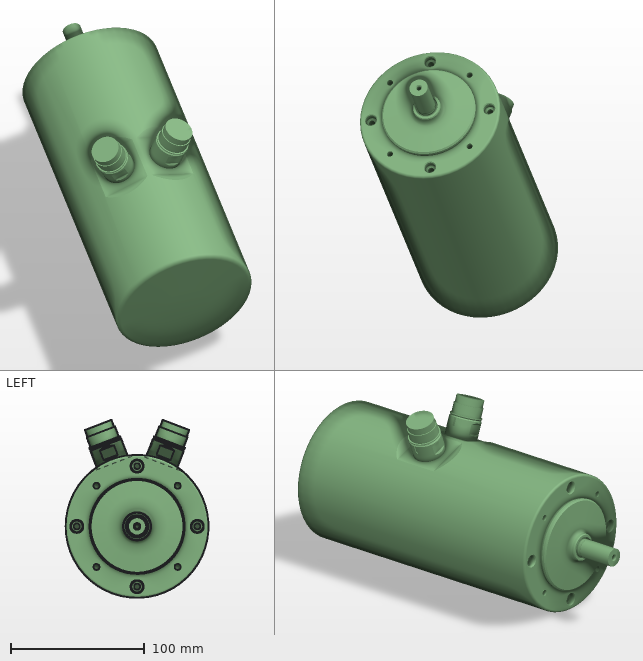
import cadquery as cq
import math

overall_length = 268.0
housing_diameter = 107.0
housing_radius = housing_diameter / 2
housing_front_x = 42.3
front_edge_fillet = 2.0
rear_edge_fillet = 3.2
rear_cone_height = 1.3

pilot_diameter = 71.3
pilot_front_x = 37.3
pilot_chamfer = 1.0
pilot_relief_diameter = 70.2
pilot_relief_length = 2.1
hub_diameter = 21.2
hub_fillet = 3.0
hub_fillet_start_x = 32.5
hub_face_diameter = 20.0
hub_front_x = 30.0
hub_chamfer = 0.8
hub_recess_diameter = 17.0
hub_recess_floor_diameter = 16.0
hub_recess_depth = 1.0

shaft_diameter = 14.0
shaft_groove_diameter = 13.5
shaft_groove_start_x = 27.3
shaft_groove_length = 2.1
shaft_groove_bevel = 0.5
center_hole_diameter = 3.5
center_hole_mouth_diameter = 5.0
center_hole_depth = 8.0

screw_circle_radius = 45.0
screw_mouth_diameter = 10.0
screw_counterbore_diameter = 8.5
screw_counterbore_depth = 4.8
screw_hole_diameter = 4.5
screw_hole_depth = 10.7
mount_circle_radius = 43.0
mount_hole_diameter = 4.5
mount_hole_depth = 8.0
hole_count = 4
drill_point_angle = 118.0

connector_x = 166.0
connector_tilt = 21.0
seat_width = 35.0
seat_height = math.sqrt(housing_radius**2 - (seat_width / 2) ** 2)
seat_length = 35.6
seat_ramp_angle = 20.0
seat_cut_clearance = 2.7
connector_top_height = 81.2
connector_length = connector_top_height - seat_height
connector_base_diameter = 25.0
connector_body_diameter = 22.8
connector_cap_diameter = 21.5
connector_cap_length = 5.5
connector_shoulder_depth = 13.7
connector_rim_length = 0.8
connector_groove_diameter = 23.0
connector_groove_length = 1.5
key_slot_width = 2.0
key_slot_height = 6.7
key_slot_depth = 0.8
wrench_flat_width = 22.2
wrench_flat_height = 7.5
wrench_flat_top_depth = 18.5


def cone_tip_length(diameter):
    """Length of the conical bottom left by a drill of this diameter."""
    return diameter / 2 / math.tan(math.radians(drill_point_angle / 2))


def revolve_about_x(sketch):
    """Turn a closed (x, radius) outline into a solid about the X axis."""
    return sketch.close().revolve(360, (0, 0, 0), (1, 0, 0))


def make_motor_blank():
    """Shaft, hub, pilot and housing as one turned shape."""
    shaft_radius = shaft_diameter / 2
    groove_radius = shaft_groove_diameter / 2
    groove_end_x = shaft_groove_start_x + shaft_groove_length
    pilot_radius = pilot_diameter / 2
    relief_radius = pilot_relief_diameter / 2
    recess_floor_x = hub_front_x + hub_recess_depth
    front_fillet_end_x = housing_front_x + front_edge_fillet
    front_fillet_mid = front_edge_fillet * math.sqrt(0.5)
    rear_fillet_start_x = overall_length - rear_cone_height - rear_edge_fillet
    rear_fillet_mid = rear_edge_fillet * math.sqrt(0.5)
    outline = (
        cq.Workplane("XY")
        .moveTo(0, 0)
        .lineTo(0, shaft_radius)
        .lineTo(shaft_groove_start_x, shaft_radius)
        .lineTo(shaft_groove_start_x + shaft_groove_bevel, groove_radius)
        .lineTo(groove_end_x - shaft_groove_bevel, groove_radius)
        .lineTo(groove_end_x, shaft_radius)
        .lineTo(recess_floor_x, shaft_radius)
        .lineTo(recess_floor_x, hub_recess_floor_diameter / 2)
        .lineTo(hub_front_x, hub_recess_diameter / 2)
        .lineTo(hub_front_x, hub_face_diameter / 2)
        .lineTo(hub_front_x + hub_chamfer, hub_diameter / 2)
        .lineTo(hub_fillet_start_x, hub_diameter / 2)
        .tangentArcPoint((hub_fillet, hub_fillet))
        .lineTo(pilot_front_x, pilot_radius - pilot_chamfer)
        .lineTo(pilot_front_x + pilot_chamfer, pilot_radius)
        .lineTo(housing_front_x - pilot_relief_length, pilot_radius)
        .lineTo(housing_front_x - pilot_relief_length, relief_radius)
        .lineTo(housing_front_x, relief_radius)
        .lineTo(housing_front_x, housing_radius - front_edge_fillet)
        .threePointArc(
            (front_fillet_end_x - front_fillet_mid, housing_radius - front_edge_fillet + front_fillet_mid),
            (front_fillet_end_x, housing_radius),
        )
        .lineTo(rear_fillet_start_x, housing_radius)
        .threePointArc(
            (rear_fillet_start_x + rear_fillet_mid, housing_radius - rear_edge_fillet + rear_fillet_mid),
            (rear_fillet_start_x + rear_edge_fillet, housing_radius - rear_edge_fillet),
        )
        .lineTo(overall_length, 0)
    )
    return revolve_about_x(outline)


def make_center_hole():
    """Countersunk center hole in the shaft tip."""
    hole_radius = center_hole_diameter / 2
    mouth_radius = center_hole_mouth_diameter / 2
    outline = (
        cq.Workplane("XY")
        .lineTo(0, mouth_radius)
        .lineTo(mouth_radius - hole_radius, hole_radius)
        .lineTo(center_hole_depth, hole_radius)
        .lineTo(center_hole_depth + cone_tip_length(center_hole_diameter), 0)
    )
    return revolve_about_x(outline)


def make_screw_hole():
    """Counterbored screw hole with a beveled mouth, on the X axis."""
    mouth_radius = screw_mouth_diameter / 2
    bore_radius = screw_counterbore_diameter / 2
    hole_radius = screw_hole_diameter / 2
    outline = (
        cq.Workplane("XY")
        .moveTo(housing_front_x, 0)
        .lineTo(housing_front_x, mouth_radius)
        .lineTo(housing_front_x + mouth_radius - bore_radius, bore_radius)
        .lineTo(housing_front_x + screw_counterbore_depth, bore_radius)
        .lineTo(housing_front_x + screw_counterbore_depth, hole_radius)
        .lineTo(housing_front_x + screw_hole_depth, hole_radius)
        .lineTo(housing_front_x + screw_hole_depth, 0)
    )
    return revolve_about_x(outline)


def make_mount_hole():
    """Blind drilled hole with a conical bottom, on the X axis."""
    hole_radius = mount_hole_diameter / 2
    bottom_x = housing_front_x + mount_hole_depth
    outline = (
        cq.Workplane("XY")
        .moveTo(housing_front_x, 0)
        .lineTo(housing_front_x, hole_radius)
        .lineTo(bottom_x, hole_radius)
        .lineTo(bottom_x + cone_tip_length(mount_hole_diameter), 0)
    )
    return revolve_about_x(outline)


def tilt(shape, angle):
    """Swing a shape standing on the motor around the X axis."""
    return shape.rotate((0, 0, 0), (1, 0, 0), angle)


def make_seat_cutter():
    """Flat-bottomed cut with ramped ends, above the seat plane."""
    rise = housing_radius - seat_height + seat_cut_clearance
    half_bottom = seat_length / 2
    half_top = half_bottom + rise / math.tan(math.radians(seat_ramp_angle))
    return (
        cq.Workplane("XZ")
        .moveTo(connector_x - half_bottom, seat_height)
        .lineTo(connector_x + half_bottom, seat_height)
        .lineTo(connector_x + half_top, seat_height + rise)
        .lineTo(connector_x - half_top, seat_height + rise)
        .close()
        .extrude(housing_radius, both=True)
    )


def make_motor():
    motor = make_motor_blank().cut(make_center_hole())
    screw_hole = make_screw_hole().translate((0, 0, screw_circle_radius))
    mount_hole = make_mount_hole().translate((0, 0, mount_circle_radius))
    pitch = 360 / hole_count
    for index in range(hole_count):
        motor = motor.cut(tilt(screw_hole, index * pitch))
        motor = motor.cut(tilt(mount_hole, (index + 0.5) * pitch))
    for angle in (connector_tilt, -connector_tilt):
        motor = motor.cut(tilt(make_seat_cutter(), angle))
    return motor


def make_flat_cutter(side):
    """Cut for one wrench flat, with 45 degree run-outs at both ends; side is -1 or 1."""
    floor_x = wrench_flat_width / 2
    rise = connector_base_diameter / 2 - floor_x
    outer_x = floor_x + rise
    top = connector_length - wrench_flat_top_depth
    bottom = top - wrench_flat_height
    return (
        cq.Workplane("XZ")
        .moveTo(side * floor_x, bottom)
        .lineTo(side * floor_x, top)
        .lineTo(side * outer_x, top + rise)
        .lineTo(side * outer_x, bottom - rise)
        .close()
        .extrude(connector_base_diameter, both=True)
    )


def make_connector(angle):
    """Round connector with a grooved rim, two wrench flats and a key slot, standing on its seat."""
    base_radius = connector_base_diameter / 2
    groove_radius = connector_groove_diameter / 2
    body_radius = connector_body_diameter / 2
    cap_radius = connector_cap_diameter / 2
    shoulder_height = connector_length - connector_shoulder_depth
    groove_top = shoulder_height - connector_rim_length
    groove_bottom = groove_top - connector_groove_length
    cap_height = connector_length - connector_cap_length
    connector = (
        cq.Workplane("XZ")
        .lineTo(base_radius, 0)
        .lineTo(base_radius, groove_bottom)
        .lineTo(groove_radius, (groove_bottom + groove_top) / 2)
        .lineTo(base_radius, groove_top)
        .lineTo(base_radius, shoulder_height)
        .lineTo(body_radius, shoulder_height)
        .lineTo(body_radius, cap_height)
        .lineTo(cap_radius, cap_height)
        .lineTo(cap_radius, connector_length)
        .lineTo(0, connector_length)
        .close()
        .revolve(360, (0, 0, 0), (0, 1, 0))
    )
    for side in (-1, 1):
        connector = connector.cut(make_flat_cutter(side))
    key_slot = cq.Workplane("XY").box(
        key_slot_width, 2 * key_slot_depth, key_slot_height, centered=(True, True, False)
    )
    connector = connector.cut(key_slot.translate((0, base_radius, groove_bottom - key_slot_height)))
    return tilt(connector.translate((connector_x, 0, seat_height)), angle)


motor = make_motor()
connectors = [make_connector(angle) for angle in (connector_tilt, -connector_tilt)]
result = cq.Compound.makeCompound([motor.val(), *[connector.val() for connector in connectors]])